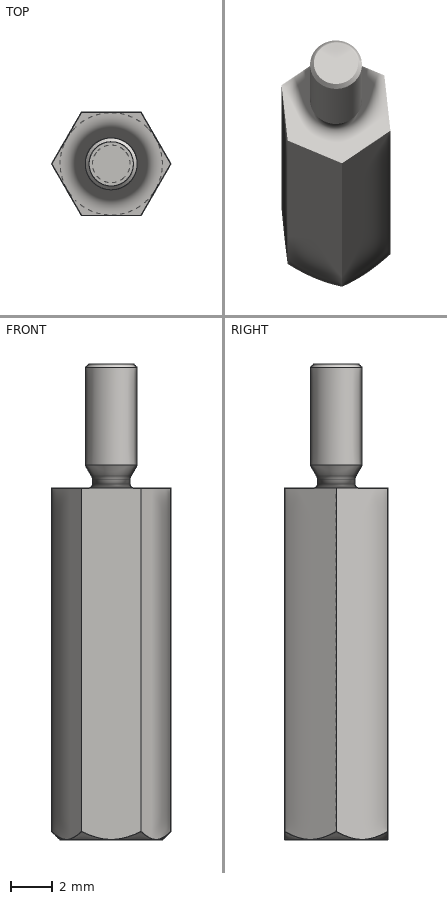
import cadquery as cq
import math

total_height = 23.0
across_flats = 5.0
across_corners = across_flats / math.cos(math.radians(30))
stud_length = 6.0
body_height = total_height - stud_length

bottom_face_diameter = 4.95
bottom_chamfer = (across_corners - bottom_face_diameter) / 2

stud_radius = 2.5 / 2
neck_radius = 1.82 / 2
tip_chamfer = 0.18
undercut_length = 1.1
root_fillet = 0.2
neck_blend = 0.3
undercut_angle = math.radians(30)


def make_body():
    hexagon = cq.Workplane("XY").polygon(6, across_corners).extrude(body_height)
    envelope = (
        cq.Workplane("XY")
        .circle(across_corners / 2)
        .extrude(body_height)
        .faces("<Z")
        .chamfer(bottom_chamfer)
    )
    return hexagon.intersect(envelope)


def make_stud():
    root_center_r = neck_radius + root_fillet
    root_center_z = body_height + root_fillet
    root_mid = (
        root_center_r - root_fillet * math.cos(math.radians(45)),
        root_center_z - root_fillet * math.sin(math.radians(45)),
    )

    blend_step = neck_blend * (1 - math.cos(undercut_angle))
    blend_height = neck_blend * math.sin(undercut_angle)
    cone_height = (stud_radius - neck_radius - blend_step) / math.tan(undercut_angle)
    cone_top_z = body_height + undercut_length
    blend_start_z = cone_top_z - cone_height - blend_height
    blend_mid = (
        neck_radius + neck_blend * (1 - math.cos(undercut_angle / 2)),
        blend_start_z + neck_blend * math.sin(undercut_angle / 2),
    )

    return (
        cq.Workplane("XZ")
        .moveTo(0, body_height)
        .lineTo(root_center_r, body_height)
        .threePointArc(root_mid, (neck_radius, root_center_z))
        .lineTo(neck_radius, blend_start_z)
        .threePointArc(blend_mid, (neck_radius + blend_step, blend_start_z + blend_height))
        .lineTo(stud_radius, cone_top_z)
        .lineTo(stud_radius, total_height - tip_chamfer)
        .lineTo(stud_radius - tip_chamfer, total_height)
        .lineTo(0, total_height)
        .close()
        .revolve(360, (0, 0, 0), (0, 1, 0))
    )


result = make_body().union(make_stud())